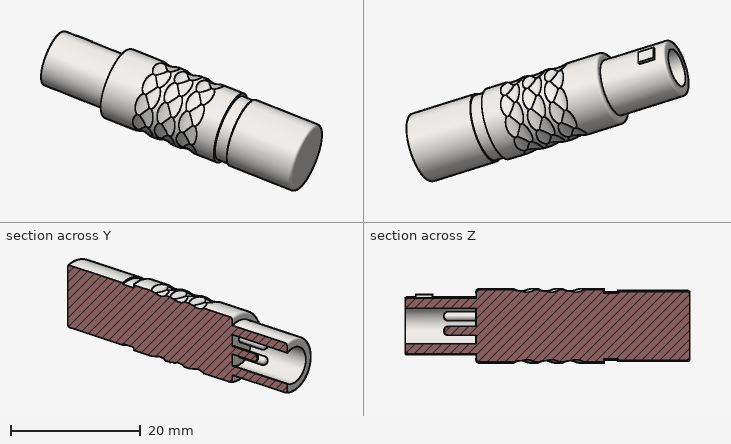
import cadquery as cq
import math


total_length = 44
nose_radius = 8.98 / 2
nose_length = 10.95
nose_fillet = 0.4
collar_radius = 11.5 / 2
collar_end = 30.75
collar_fillet = 0.5
neck_radius = 10.55 / 2
neck_end = 32.85
rear_radius = 11.0 / 2
rear_fillet = 0.45

bore_radius = 3.0
bore_depth = nose_length
pin_count = 3
pin_radius = 0.7
pin_circle_radius = 1.5
pin_tip_depth = 6.0

key_start = 1.65
key_length = 2.65
key_width = 2.02
key_top = 4.9

band_count = 3
rings_per_band = 2
band_pitch = 3.8
first_ring_x = 17.9
ring_offset = 0.92
dimples_per_ring = 10
dimple_step = 360 / dimples_per_ring
dimple_depth = 0.35
dimple_cutter_radius = 2.2
dimple_cutter_length = collar_radius


def cylinder_along_x(start, end, radius):
    return cq.Workplane("YZ").workplane(offset=start).circle(radius).extrude(end - start)


def make_nose():
    nose = cylinder_along_x(0, nose_length, nose_radius)
    return nose.faces("<X").edges().fillet(nose_fillet)


def make_collar():
    collar = cylinder_along_x(nose_length, collar_end, collar_radius)
    return collar.faces("<X").edges().fillet(collar_fillet)


def make_rear():
    neck = cylinder_along_x(collar_end, neck_end, neck_radius)
    sleeve = cylinder_along_x(neck_end, total_length, rear_radius)
    sleeve = sleeve.faces(">X").edges().fillet(rear_fillet)
    return neck.union(sleeve)


def dimple_cutter(x, angle):
    """Cylinder lying across the collar surface; angle is measured about X from -Y."""
    axis_distance = collar_radius - dimple_depth + dimple_cutter_radius
    cutter = (
        cq.Workplane("XY")
        .center(x, -axis_distance)
        .circle(dimple_cutter_radius)
        .extrude(dimple_cutter_length / 2, both=True)
    )
    return cutter.rotate((0, 0, 0), (1, 0, 0), angle)


def cut_grip(collar):
    for band in range(band_count):
        for ring in range(rings_per_band):
            x = first_ring_x + band * band_pitch + ring * ring_offset
            for dimple in range(dimples_per_ring):
                angle = (dimple + ring / rings_per_band) * dimple_step
                collar = collar.cut(dimple_cutter(x, angle))
    return collar


def make_key():
    key_root = (bore_radius + nose_radius) / 2
    key = cq.Workplane("XY").box(
        key_length, key_top - key_root, key_width, centered=(False, False, True)
    )
    return key.translate((key_start, key_root, 0))


def make_pin(angle):
    """Round-ended pin standing on the socket floor; angle is measured about X from +Y."""
    y = pin_circle_radius * math.cos(math.radians(angle))
    z = pin_circle_radius * math.sin(math.radians(angle))
    shank_start = pin_tip_depth + pin_radius
    shank = cylinder_along_x(shank_start, bore_depth, pin_radius)
    tip = cq.Workplane("XY").sphere(pin_radius).translate((shank_start, 0, 0))
    return shank.union(tip).translate((0, y, z))


collar = cut_grip(make_collar())
result = collar.union(make_nose()).union(make_rear()).union(make_key())
result = result.cut(cylinder_along_x(0, bore_depth, bore_radius))
for pin in range(pin_count):
    result = result.union(make_pin(pin * 360 / pin_count))